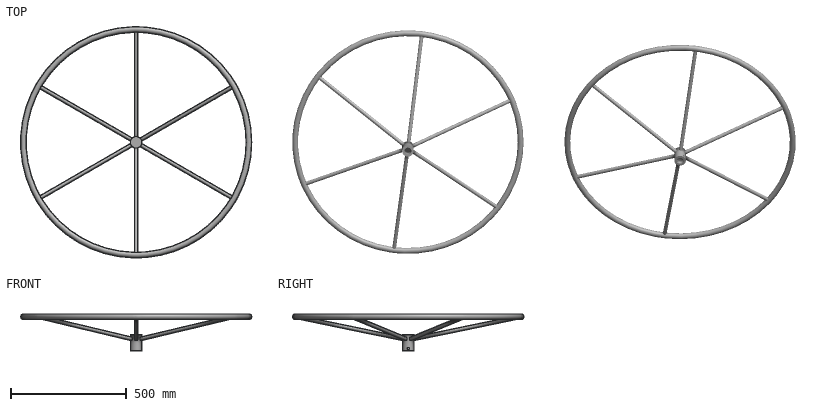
import cadquery as cq

hub_diameter = 50.0
hub_height = 70.0
bore_diameter = 30.0
bore_depth = 40.0
pin_hole_diameter = 8.0
pin_hole_height = 10.0

wheel_diameter = 1000.0
wheel_height = 160.0
rim_section_diameter = 25.0
rim_radius = (wheel_diameter - rim_section_diameter) / 2
rim_height = wheel_height - rim_section_diameter / 2

spoke_count = 6
spoke_diameter = 16.0
spoke_pitch = 360.0 / spoke_count
first_spoke_angle = spoke_pitch / 2
spoke_root_radius = bore_diameter / 2
spoke_root_height = 50.0


def make_hub():
    hub = cq.Workplane("XY").circle(hub_diameter / 2).extrude(hub_height)
    bore = cq.Workplane("XY").circle(bore_diameter / 2).extrude(bore_depth)
    pin_hole = (
        cq.Workplane("YZ")
        .center(0, pin_hole_height)
        .circle(pin_hole_diameter / 2)
        .extrude(hub_diameter, both=True)
    )
    return hub.cut(bore).cut(pin_hole)


def make_rim():
    section = cq.Workplane("XZ").moveTo(rim_radius, rim_height).circle(rim_section_diameter / 2)
    return section.revolve(360, (0, 0), (0, 1))


def make_spoke(angle):
    root = cq.Vector(spoke_root_radius, 0, spoke_root_height)
    tip = cq.Vector(rim_radius, 0, rim_height)
    axis = tip - root
    bar = cq.Solid.makeCylinder(spoke_diameter / 2, axis.Length, root, axis)
    return cq.Workplane(bar).rotate((0, 0, 0), (0, 0, 1), angle)


result = make_hub()
for index in range(spoke_count):
    result = result.union(make_spoke(first_spoke_angle + index * spoke_pitch))

result = result.union(make_rim(), clean=False)